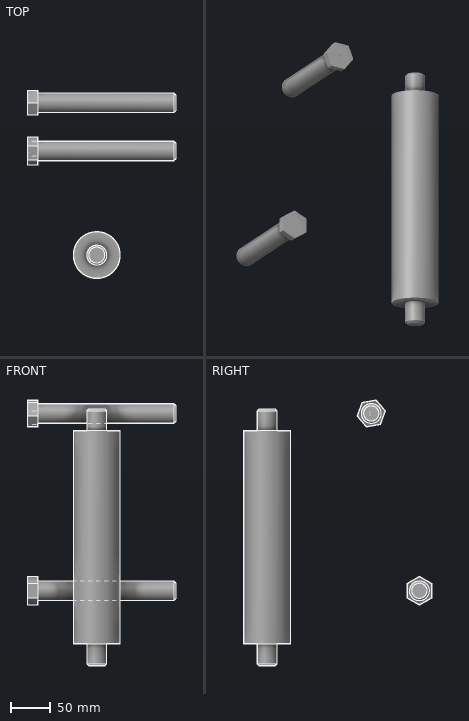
import cadquery as cq
import math

drum_diameter = 60.0
journal_diameter = 25.4
drum_length = 273.0
journal_length = 28.0
journal_chamfer = 2.5

bolt_length = 190.5
shank_diameter = 25.4
shank_chamfer = 3.0
head_height = 13.5
head_across_flats = 31.75
head_across_corners = head_across_flats / math.cos(math.radians(30))
bolt_start_x = -88.9

recess_diameter = 4.5
recess_depth = 1.0

upper_bolt_y = 133.3
upper_bolt_z = 158.52
upper_bolt_turn = 10.0
lower_bolt_y = 194.93
lower_bolt_z = -68.4
lower_bolt_turn = 30.0

bolt_places = [
    (upper_bolt_y, upper_bolt_z, upper_bolt_turn, True),
    (lower_bolt_y, lower_bolt_z, lower_bolt_turn, False),
]


def make_centred_cylinder(diameter, length):
    return cq.Workplane("XY", origin=(0, 0, -length / 2)).circle(diameter / 2).extrude(length)


def make_roller():
    drum = make_centred_cylinder(drum_diameter, drum_length)
    journals = make_centred_cylinder(journal_diameter, drum_length + 2 * journal_length)
    journals = journals.faces("<Z or >Z").chamfer(journal_chamfer)
    return drum.union(journals)


def make_bolt(axis_y, axis_z, head_turn, has_recess):
    head = cq.Workplane("YZ").polygon(6, head_across_corners).extrude(head_height)
    shank = (
        cq.Workplane("YZ")
        .circle(shank_diameter / 2)
        .extrude(bolt_length)
        .faces(">X")
        .chamfer(shank_chamfer)
    )
    bolt = head.union(shank)
    if has_recess:
        recess = cq.Workplane("YZ").circle(recess_diameter / 2).extrude(recess_depth)
        bolt = bolt.cut(recess)
    bolt = bolt.rotate((0, 0, 0), (1, 0, 0), head_turn)
    return bolt.translate((bolt_start_x, axis_y, axis_z))


roller = make_roller()
bolts = [make_bolt(*place) for place in bolt_places]

result = cq.Compound.makeCompound([roller.val(), *[bolt.val() for bolt in bolts]])